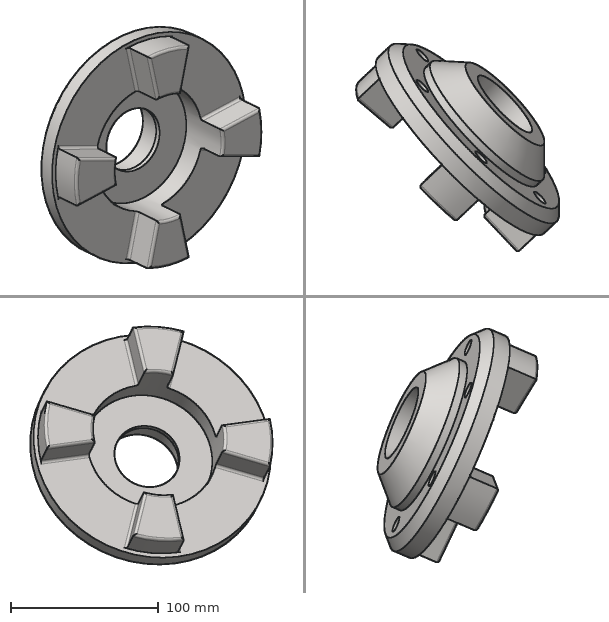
import cadquery as cq
import math

x_axis = ((0, 0, 0), (1, 0, 0))

hub_cone_end = 17.0
flange_back = 22.8
flange_front = 42.0
jaw_tip = 65.0

flange_diameter = 164
flange_chamfer = 7.0
hub_diameter = 109.9
hub_small_diameter = 76.0

seat_diameter = 52.2
seat_depth = 20.0
lip_diameter = 45.0
lip_width = 4.0
recess_diameter = 90.0

hole_diameter = 11.0
hole_count = 6
hole_circle_diameter = 130.0
hole_depth = 13.1
drill_point_angle = 118

jaw_count = 4
jaw_outer_diameter = 158.0
jaw_width = 35.1
jaw_fillet = 2.0


def make_body():
    """Turned hub and flange with the seat and lip bores, revolved about X."""
    profile = [
        (0, seat_diameter / 2),
        (0, hub_small_diameter / 2),
        (hub_cone_end, hub_diameter / 2),
        (flange_back, hub_diameter / 2),
        (flange_back, flange_diameter / 2 - flange_chamfer),
        (flange_back + flange_chamfer, flange_diameter / 2),
        (flange_front, flange_diameter / 2),
        (flange_front, lip_diameter / 2),
        (seat_depth, lip_diameter / 2),
        (seat_depth, seat_diameter / 2),
    ]
    return cq.Workplane("XY").polyline(profile).close().revolve(360, *x_axis)


def make_recess_cutter():
    """Cylinder that opens the bore past the lip and trims the jaws inside."""
    lip_end = seat_depth + lip_width
    recess_plane = cq.Workplane("YZ", origin=(lip_end, 0, 0))
    return recess_plane.circle(recess_diameter / 2).extrude(jaw_tip - lip_end)


def make_hole_cutter():
    """Drill shape with a conical point, on the bolt circle above the axis."""
    radius = hole_diameter / 2
    point_length = radius / math.tan(math.radians(drill_point_angle / 2))
    bottom = flange_back + hole_depth
    half_profile = [
        (flange_back, 0),
        (flange_back, radius),
        (bottom, radius),
        (bottom + point_length, 0),
    ]
    drill = cq.Workplane("XY").polyline(half_profile).close().revolve(360, *x_axis)
    return drill.translate((0, 0, hole_circle_diameter / 2))


def make_jaw():
    """Ring sector centred on +Z, long enough inward for the recess to trim it."""
    outer = jaw_outer_diameter / 2
    middle_diameter = (lip_diameter + recess_diameter) / 2
    inner = middle_diameter / 2
    half_angle = math.degrees(math.asin(jaw_width / 2 / outer))
    section = [
        (flange_front, inner),
        (jaw_tip, inner),
        (jaw_tip, outer),
        (flange_front, outer),
    ]
    sector = cq.Workplane("XY").polyline(section).close().revolve(2 * half_angle, *x_axis)
    return sector.rotate(*x_axis, 90 - half_angle)


def fillet_jaw_roots(part):
    """Fillet the straight edges where the jaw sides meet the flange face."""
    half_size = flange_diameter / 2
    slab_margin = 0.2
    face_slab = cq.selectors.BoxSelector(
        (flange_front - slab_margin, -half_size, -half_size),
        (flange_front + slab_margin, half_size, half_size),
    )
    return part.edges(face_slab).edges("%LINE").fillet(jaw_fillet)


def spin(shape, index, count):
    """Turn a shape to its place in an even ring about the turning axis."""
    return shape.rotate(*x_axis, index * 360 / count)


result = make_body()
for i in range(hole_count):
    result = result.cut(spin(make_hole_cutter(), i, hole_count))
for i in range(jaw_count):
    result = result.union(spin(make_jaw(), i, jaw_count))
result = fillet_jaw_roots(result)
result = result.cut(make_recess_cutter())

result = result.faces(">X").edges().fillet(jaw_fillet)